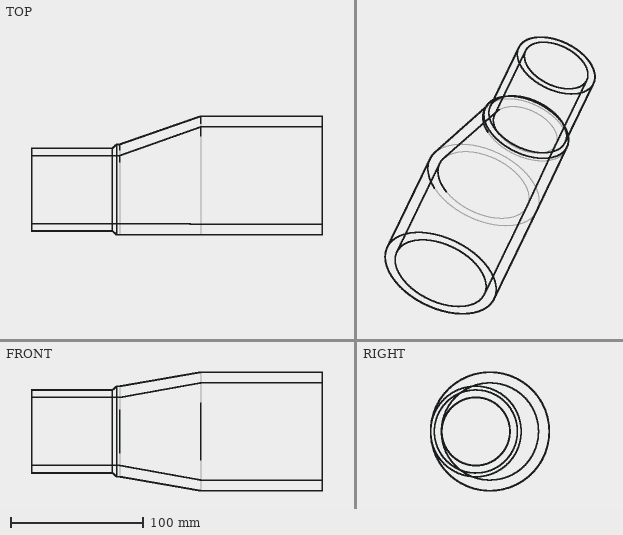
import cadquery as cq

total_length = 220.0
spigot_length = 61.2
chamfer_length = 3.0
collar_length = 2.5
body_length = 92.0
cone_length = total_length - spigot_length - chamfer_length - collar_length - body_length

spigot_diameter = 63.0
collar_diameter = 68.6
body_diameter = 90.0

spigot_bore = 51.5
body_bore = body_diameter * spigot_bore / spigot_diameter

offset = (body_diameter - collar_diameter) / 2

chamfer_start = spigot_length
collar_start = chamfer_start + chamfer_length
cone_start = collar_start + collar_length
body_start = cone_start + cone_length


def section(x, diameter, y=0.0):
    """Circle normal to X, centred at the given X and Y."""
    return cq.Workplane("YZ", origin=(x, y, 0)).circle(diameter / 2)


def cylinder(start, end, diameter, y=0.0):
    return section(start, diameter, y).extrude(end - start)


def transition(start, end, start_diameter, end_diameter, start_y, end_y):
    """Straight-sided loft between two circles that may be eccentric."""
    start_circle = section(start, start_diameter, start_y).val()
    end_circle = section(end, end_diameter, end_y).val()
    return cq.Workplane(cq.Solid.makeLoft([start_circle, end_circle], True))


outside = (
    cylinder(0, chamfer_start, spigot_diameter, -offset)
    .union(transition(chamfer_start, collar_start, spigot_diameter, collar_diameter, -offset, -offset))
    .union(cylinder(collar_start, cone_start, collar_diameter, -offset))
    .union(transition(cone_start, body_start, collar_diameter, body_diameter, -offset, 0))
    .union(cylinder(body_start, total_length, body_diameter))
)

bore = (
    cylinder(0, cone_start, spigot_bore, -offset)
    .union(transition(cone_start, body_start, spigot_bore, body_bore, -offset, 0))
    .union(cylinder(body_start, total_length, body_bore))
)

result = outside.cut(bore)